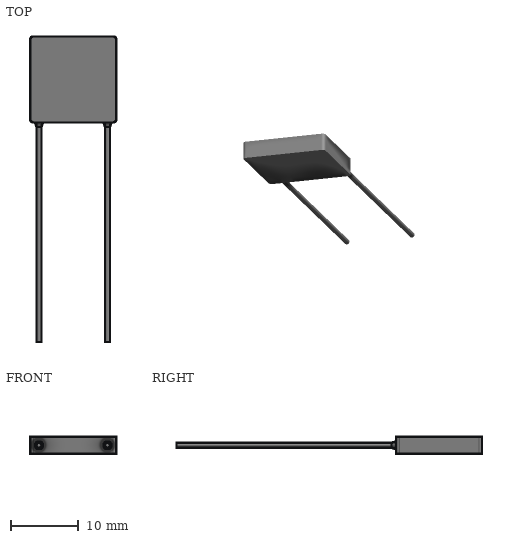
import cadquery as cq

total_length = 45.05
case_width = 12.7
case_length = 12.7
case_height = 2.52
corner_radius = 0.5

lead_pitch = 10.1
lead_diameter = 0.75
lead_length = total_length - case_length
collar_base_diameter = 1.15
collar_length = 0.65

lead_positions = [-lead_pitch / 2, lead_pitch / 2]


def make_lead(x):
    """Straight round wire, butting on the case front face."""
    return (
        cq.Workplane("XZ", origin=(x, 0, 0))
        .circle(lead_diameter / 2)
        .extrude(lead_length)
    )


def make_collar(x):
    """Ring that tapers from the case front face down to the lead surface."""
    cone = cq.Solid.makeCone(
        collar_base_diameter / 2,
        lead_diameter / 2,
        collar_length,
        pnt=cq.Vector(x, 0, 0),
        dir=cq.Vector(0, -1, 0),
    )
    return cq.Workplane(cone).cut(make_lead(x))


def make_case():
    """Flat box with rounded upright corners and a collar around each lead."""
    case = (
        cq.Workplane("XY", origin=(0, case_length / 2, 0))
        .box(case_width, case_length, case_height)
        .edges("|Z")
        .fillet(corner_radius)
    )
    for x in lead_positions:
        case = case.union(make_collar(x))
    return case


case = make_case()
leads = [make_lead(x) for x in lead_positions]

result = cq.Compound.makeCompound([case.val(), *[lead.val() for lead in leads]])